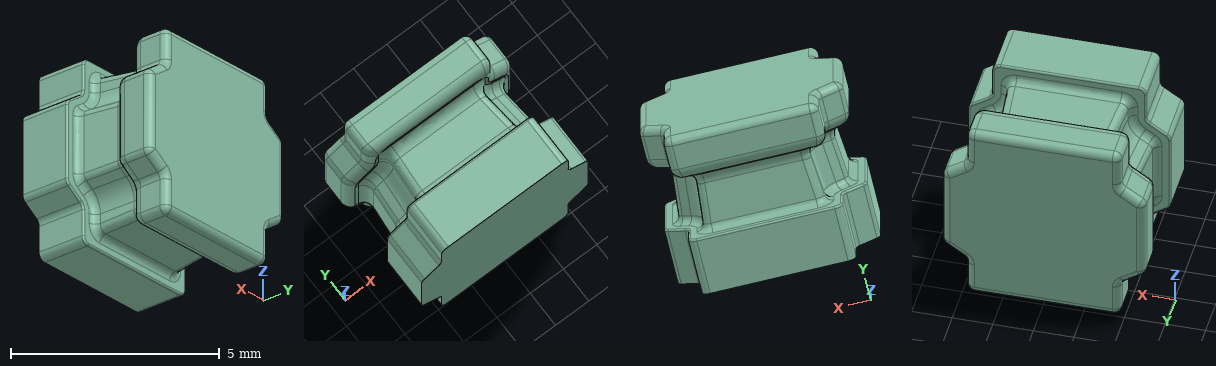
import cadquery as cq
import math

WIDTH = 5.0
DEPTH = 4.0

LOBE_HALF = WIDTH / 2
BLOCK_HALF = 1.9
LOBE_CORNER_Z = 1.1
SLOPE_TOP_Z = 1.5
OUTLINE_RADIUS = 0.2

BASE_THICKNESS = 1.4
BASE_RIM_RADIUS = 0.05
HEAD_THICKNESS = 1.1
HEAD_OUTER_RADIUS = 0.2
HEAD_INNER_RADIUS = 0.3
HEAD_Y = DEPTH - HEAD_THICKNESS

WAIST_LENGTH = HEAD_Y - BASE_THICKNESS
WAIST_BASE_INSET = 0.395
WAIST_TAPER = 5.0
WAIST_HEAD_INSET = WAIST_BASE_INSET + WAIST_LENGTH * math.tan(math.radians(WAIST_TAPER))
WAIST_CORNER_RADIUS = 0.2
WAIST_HOLLOW_RADIUS = OUTLINE_RADIUS + (WAIST_BASE_INSET + WAIST_HEAD_INSET) / 2
WAIST_BASE_FILLET = 0.2
WAIST_HEAD_FILLET = 0.3

TOLERANCE = 0.0005


def outline(y, inset=0.0):
    """Sharp flange outline on the plane at y, moved inwards by inset."""
    slope_angle = math.atan2(SLOPE_TOP_Z - LOBE_CORNER_Z, LOBE_HALF - BLOCK_HALF)
    drop = inset * math.tan((math.pi / 2 - slope_angle) / 2)
    quarter = [
        (LOBE_HALF - inset, LOBE_CORNER_Z - drop),
        (BLOCK_HALF - inset, SLOPE_TOP_Z - drop),
        (BLOCK_HALF - inset, WIDTH / 2 - inset),
    ]
    upper = quarter + [(-x, z) for x, z in reversed(quarter)]
    lower = [(-x, -z) for x, z in upper]
    plane = cq.Plane(origin=(0, y, 0), xDir=(-1, 0, 0), normal=(0, 1, 0))
    return cq.Workplane(plane).polyline(upper + lower).close()


def flange(y, thickness):
    """Flange block from y towards +Y, with its outline corners rounded."""
    return outline(y).extrude(thickness).edges("|Y").fillet(OUTLINE_RADIUS)


def is_lengthwise(edge):
    """True for the edges that run along the waist from base to head."""
    return edge.BoundingBox().ylen > WAIST_LENGTH - TOLERANCE


def is_hollow(edge):
    """True for the waist edges where a slope meets the centre block."""
    middle = edge.Center()
    return abs(middle.x) < BLOCK_HALF and abs(middle.z) < SLOPE_TOP_Z


def is_corner(edge):
    """True for the outward waist edges, on the lobes and the centre block."""
    middle = edge.Center()
    reach = LOBE_HALF - WAIST_HEAD_INSET
    return abs(middle.x) > reach or abs(middle.z) > reach


def tapered_waist():
    """Waist with wide hollows beside the lobes and rounded outward corners."""
    base_end = outline(BASE_THICKNESS, WAIST_BASE_INSET).val()
    head_end = outline(HEAD_Y, WAIST_HEAD_INSET).val()
    body = cq.Workplane(cq.Solid.makeLoft([base_end, head_end], True))
    body = body.edges().filter(is_lengthwise).filter(is_hollow).fillet(WAIST_HOLLOW_RADIUS)
    return body.edges().filter(is_lengthwise).filter(is_corner).fillet(WAIST_CORNER_RADIUS)


def flare(body, y, flange_start, flange_thickness, radius):
    """Flare the waist out to the flange face at y, using a sharp flange that is cut off again."""
    plate = outline(flange_start).extrude(flange_thickness)
    joined = body.union(plate)

    def is_flange_face(face):
        return abs(face.Center().y - y) < TOLERANCE and len(face.innerWires()) > 0

    flange_face = joined.faces().filter(is_flange_face).val()
    rim_edges = flange_face.innerWires()[0].Edges()
    return joined.newObject(rim_edges).fillet(radius).cut(plate)


base = flange(0, BASE_THICKNESS)
base = base.faces(">Y").edges().fillet(BASE_RIM_RADIUS)

head = flange(HEAD_Y, HEAD_THICKNESS)
head = head.faces(">Y").edges().fillet(HEAD_OUTER_RADIUS)
head = head.faces("<Y").edges().fillet(HEAD_INNER_RADIUS)

waist = tapered_waist()
waist = flare(waist, BASE_THICKNESS, 0, BASE_THICKNESS, WAIST_BASE_FILLET)
waist = flare(waist, HEAD_Y, HEAD_Y, HEAD_THICKNESS, WAIST_HEAD_FILLET)

result = base.union(waist).union(head)